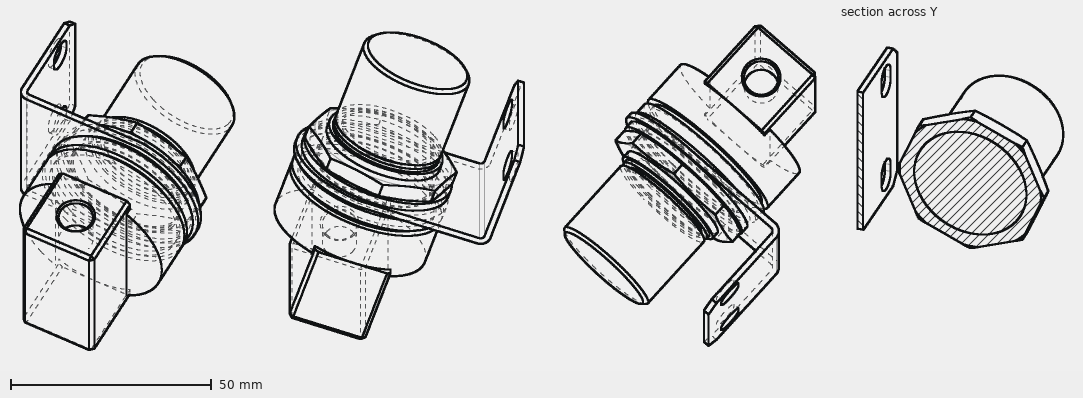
import cadquery as cq
import math


BLOCK_WIDTH = 20.0
BLOCK_HEIGHT = 40.0
BLOCK_DEPTH = 20.0
BLOCK_CHAMFER = 1.0

PORT_DIAMETER = 8.55
PORT_DEPTH = 10.0
PORT_CHAMFER = 0.55
DRILL_POINT_ANGLE = 118.0

BODY_DIAMETER = 40.0
BODY_START = 18.0
BODY_GROOVE_DIAMETER = 36.0
BODY_GROOVE_START = 30.0
BODY_GROOVE_END = 31.45
BODY_END = 35.55
BODY_CHAMFER = 1.0

NECK_DIAMETER = 30.0
NECK_END = 45.05
SPIGOT_END = 45.95
KNOB_DIAMETER = 28.0
KNOB_GROOVE_DIAMETER = 24.0
KNOB_START = 47.05
KNOB_END = 69.0
KNOB_END_DIAMETER = 26.2
KNOB_CHAMFER = (KNOB_DIAMETER - KNOB_END_DIAMETER) / 2

SHEET = 1.6
BRACKET_HEIGHT = 41.0
BRACKET_END_RADIUS = 21.0
BRACKET_LEFT = 30.0
BRACKET_LEG_LENGTH = 28.0
BEND_INNER_RADIUS = 1.05
BRACKET_CORNER_CHAMFER = 3.0
BRACKET_HOLE_DIAMETER = 31.0
SLOT_WIDTH = 6.55
SLOT_LENGTH = 8.55
SLOT_SPACING = 28.0
SLOT_FROM_TIP = 8.0

FLANGE_THICKNESS = 2.0
NUT_DIAMETER = 39.0
NUT_SIDES = 8
NUT_THICKNESS = 4.0
NUT_CHAMFER_ANGLE = 15.0


def port_block():
    block = cq.Workplane("XY").box(
        BLOCK_WIDTH, BLOCK_DEPTH, BLOCK_HEIGHT, centered=(True, False, True)
    )
    return block.edges("|Y or <Y").chamfer(BLOCK_CHAMFER)


def turned_body():
    """Round body, neck, spigot and knob revolved as one profile about Y."""
    body_r = BODY_DIAMETER / 2
    body_groove_r = BODY_GROOVE_DIAMETER / 2
    neck_r = NECK_DIAMETER / 2
    knob_r = KNOB_DIAMETER / 2
    knob_groove_r = KNOB_GROOVE_DIAMETER / 2
    profile = [
        (0, BODY_START),
        (body_r, BODY_START),
        (body_r, BODY_GROOVE_START),
        (body_groove_r, BODY_GROOVE_START),
        (body_groove_r, BODY_GROOVE_END),
        (body_r, BODY_GROOVE_END),
        (body_r, BODY_END - BODY_CHAMFER),
        (body_r - BODY_CHAMFER, BODY_END),
        (neck_r, BODY_END),
        (neck_r, NECK_END),
        (knob_r, NECK_END),
        (knob_r, SPIGOT_END),
        (knob_groove_r, SPIGOT_END),
        (knob_groove_r, KNOB_START),
        (knob_r, KNOB_START),
        (knob_r, KNOB_END - KNOB_CHAMFER),
        (KNOB_END_DIAMETER / 2, KNOB_END),
        (0, KNOB_END),
    ]
    return cq.Workplane("XY").polyline(profile).close().revolve(360, (0, 0), (0, 1))


def port_cutter():
    """Blind drilled hole with a conical bottom and a chamfered mouth."""
    radius = PORT_DIAMETER / 2
    top = BLOCK_HEIGHT / 2
    bottom = top - PORT_DEPTH
    point_depth = radius / math.tan(math.radians(DRILL_POINT_ANGLE / 2))
    profile = [
        (0, top),
        (radius + PORT_CHAMFER, top),
        (radius, top - PORT_CHAMFER),
        (radius, bottom),
        (0, bottom - point_depth),
    ]
    cutter = cq.Workplane("XZ").polyline(profile).close().revolve(360, (0, 0), (0, 1))
    return cutter.translate((0, BLOCK_DEPTH / 2, 0))


def make_housing():
    return port_block().union(turned_body()).cut(port_cutter())


def bracket_plate():
    """Plate against the body shoulder, with a rounded free end."""
    half_height = BRACKET_HEIGHT / 2
    arc_start = math.sqrt(BRACKET_END_RADIUS**2 - half_height**2)
    return (
        cq.Workplane("XZ", origin=(0, BODY_END, 0))
        .moveTo(-BRACKET_LEFT, -half_height)
        .lineTo(arc_start, -half_height)
        .threePointArc((BRACKET_END_RADIUS, 0), (arc_start, half_height))
        .lineTo(-BRACKET_LEFT, half_height)
        .close()
        .extrude(-SHEET)
    )


def bracket_leg():
    leg = (
        cq.Workplane("XY", origin=(-BRACKET_LEFT, BODY_END, 0))
        .box(SHEET, BRACKET_LEG_LENGTH, BRACKET_HEIGHT, centered=(False, False, True))
    )
    return leg.edges("|X and >Y").chamfer(BRACKET_CORNER_CHAMFER)


def leg_slots():
    slot_y = BODY_END + BRACKET_LEG_LENGTH - SLOT_FROM_TIP
    return (
        cq.Workplane("YZ", origin=(-BRACKET_LEFT, slot_y, 0))
        .rarray(0.7, SLOT_SPACING, 1, 2)
        .slot2D(SLOT_LENGTH, SLOT_WIDTH, 90)
        .extrude(SHEET)
    )


def make_bracket():
    bracket = bracket_plate().union(bracket_leg())
    inner_corner = (-BRACKET_LEFT + SHEET, BODY_END + SHEET, 0)
    outer_corner = (-BRACKET_LEFT, BODY_END, 0)
    bracket = bracket.edges(cq.NearestToPointSelector(inner_corner)).fillet(BEND_INNER_RADIUS)
    bracket = bracket.edges(cq.NearestToPointSelector(outer_corner)).fillet(BEND_INNER_RADIUS + SHEET)
    mounting_hole = (
        cq.Workplane("XZ", origin=(0, BODY_END, 0))
        .circle(BRACKET_HOLE_DIAMETER / 2)
        .extrude(-SHEET)
    )
    return bracket.cut(mounting_hole).cut(leg_slots())


def octagon():
    """Octagonal head with its corners turned down to the inscribed circle at both ends."""
    start = BODY_END + SHEET + FLANGE_THICKNESS
    end = start + NUT_THICKNESS
    corner_r = NUT_DIAMETER / 2
    flat_r = corner_r * math.cos(math.pi / NUT_SIDES)
    drop = (corner_r - flat_r) * math.tan(math.radians(NUT_CHAMFER_ANGLE))
    prism = (
        cq.Workplane("XZ", origin=(0, start, 0))
        .polygon(NUT_SIDES, NUT_DIAMETER)
        .extrude(-NUT_THICKNESS)
    )
    envelope_profile = [
        (0, start),
        (flat_r, start),
        (corner_r, start + drop),
        (corner_r, end - drop),
        (flat_r, end),
        (0, end),
    ]
    envelope = cq.Workplane("XY").polyline(envelope_profile).close().revolve(360, (0, 0), (0, 1))
    return prism.intersect(envelope)


def make_nut():
    flange_start = BODY_END + SHEET
    flange = (
        cq.Workplane("XZ", origin=(0, flange_start, 0))
        .circle(NUT_DIAMETER / 2)
        .extrude(-FLANGE_THICKNESS)
    )
    bore = (
        cq.Workplane("XZ", origin=(0, flange_start, 0))
        .circle(NECK_DIAMETER / 2)
        .extrude(-(FLANGE_THICKNESS + NUT_THICKNESS))
    )
    return flange.union(octagon()).cut(bore)


housing = make_housing()
bracket = make_bracket()
nut = make_nut()

result = cq.Compound.makeCompound([housing.val(), bracket.val(), nut.val()])